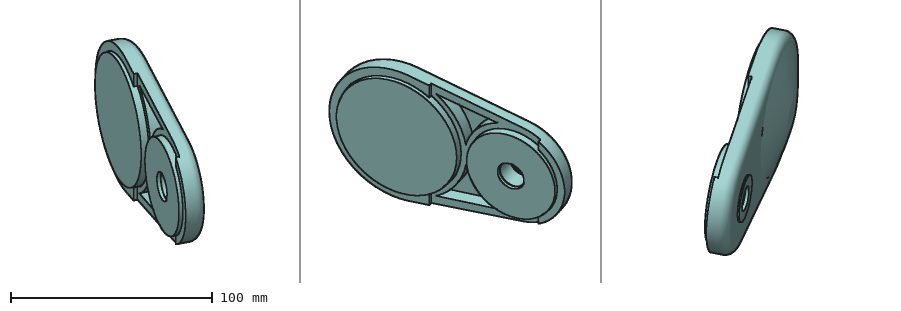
import cadquery as cq
import math

CENTRE_DISTANCE = 65.0
BIG_END_RADIUS = 39.5
SMALL_END_RADIUS = 29.5

RIM_LEVEL = 2.0
RECESS_LEVEL = 4.0
GAP_FLOOR_LEVEL = 6.0
TOP_LEVEL = 13.15
BOSS_LEVEL = 14.0
DOME_LEVEL = 19.93

TOP_EDGE_RADIUS = 5.0

RECESS_START_X = 17.5
RECESS_END_X = 79.6

BIG_DISC_DIAMETER = 68.44
BIG_SEAT_DIAMETER = 69.0
SMALL_DISC_DIAMETER = 50.27
SMALL_SEAT_DIAMETER = 50.6

POCKET_FLOOR_LEVEL = 11.3
BIG_WALL_DIAMETER = 75.4
SMALL_WALL_DIAMETER = 57.1

DOME_BASE_DIAMETER = 68.44
DOME_FLAT_DIAMETER = 16.0
DOME_BULGE = 0.45
BOSS_DIAMETER = 24.0

MOUTH_DIAMETER = 15.0
MOUTH_DEPTH = 2.0
BORE_DIAMETER = 14.4
BORE_DEPTH = 12.0
HOLE_DIAMETER = 12.5


def cylinder(x, diameter, start, end):
    """Round bar along Y between two levels."""
    plane = cq.Workplane("XZ", origin=(x, start, 0))
    return plane.circle(diameter / 2).extrude(start - end)


def belt(big, small, start, end):
    """Bar along Y between two levels: two round ends of given radii joined by their tangents."""
    cos_tangent = (big - small) / CENTRE_DISTANCE
    sin_tangent = math.sqrt(1 - cos_tangent**2)
    return (
        cq.Workplane("XZ", origin=(0, start, 0))
        .moveTo(big * cos_tangent, big * sin_tangent)
        .threePointArc((-big, 0), (big * cos_tangent, -big * sin_tangent))
        .lineTo(CENTRE_DISTANCE + small * cos_tangent, -small * sin_tangent)
        .threePointArc(
            (CENTRE_DISTANCE + small, 0),
            (CENTRE_DISTANCE + small * cos_tangent, small * sin_tangent),
        )
        .close()
        .extrude(start - end)
    )


def plate():
    """Main body with its top edge rounded."""
    body = belt(BIG_END_RADIUS, SMALL_END_RADIUS, RIM_LEVEL, TOP_LEVEL)
    return body.faces(">Y").edges().fillet(TOP_EDGE_RADIUS)


def block(start_x, end_x, start, end):
    """Box across the full width of the plate, between two X positions and two levels."""
    box = cq.Workplane("XY").box(
        end_x - start_x,
        end - start,
        2 * BIG_END_RADIUS,
        centered=(False, False, True),
    )
    return box.translate((start_x, start, 0))


def rim_recess():
    """Lowered part of the rim along the straight sides."""
    return block(RECESS_START_X, RECESS_END_X, RIM_LEVEL, RECESS_LEVEL)


def triangular_pockets():
    """Space between the seat walls and the straight side walls."""
    between = block(0, CENTRE_DISTANCE, RIM_LEVEL, POCKET_FLOOR_LEVEL)
    inner = belt(BIG_DISC_DIAMETER / 2, SMALL_DISC_DIAMETER / 2, RIM_LEVEL, POCKET_FLOOR_LEVEL)
    return (
        between.intersect(inner)
        .cut(cylinder(0, BIG_WALL_DIAMETER, RIM_LEVEL, POCKET_FLOOR_LEVEL))
        .cut(cylinder(CENTRE_DISTANCE, SMALL_WALL_DIAMETER, RIM_LEVEL, POCKET_FLOOR_LEVEL))
    )


def dome():
    """Round cap with a small flat on top, standing on the big end."""
    foot_radius = DOME_BASE_DIAMETER / 2
    return (
        cq.Workplane("XY")
        .moveTo(0, TOP_LEVEL)
        .lineTo(foot_radius, TOP_LEVEL)
        .sagittaArc((DOME_FLAT_DIAMETER / 2, DOME_LEVEL), -DOME_BULGE)
        .lineTo(0, DOME_LEVEL)
        .close()
        .revolve(360, (0, 0, 0), (0, 1, 0))
    )


def disc_in_seat(body, x, disc_diameter, seat_diameter):
    """Body with a proud round disc, ringed by a narrow gap."""
    seat = cylinder(x, seat_diameter, RIM_LEVEL, GAP_FLOOR_LEVEL)
    disc = cylinder(x, disc_diameter, 0, GAP_FLOOR_LEVEL)
    return body.cut(seat).union(disc)


def stepped_hole():
    """Through hole with a wider bore and a short, slightly wider mouth at the disc face."""
    hole = cylinder(CENTRE_DISTANCE, HOLE_DIAMETER, 0, BOSS_LEVEL)
    bore = cylinder(CENTRE_DISTANCE, BORE_DIAMETER, 0, BORE_DEPTH)
    mouth = cylinder(CENTRE_DISTANCE, MOUTH_DIAMETER, 0, MOUTH_DEPTH)
    return hole.union(bore).union(mouth)


body = plate().cut(rim_recess()).cut(triangular_pockets())
body = disc_in_seat(body, 0, BIG_DISC_DIAMETER, BIG_SEAT_DIAMETER)
body = disc_in_seat(body, CENTRE_DISTANCE, SMALL_DISC_DIAMETER, SMALL_SEAT_DIAMETER)
boss = cylinder(CENTRE_DISTANCE, BOSS_DIAMETER, TOP_LEVEL, BOSS_LEVEL)
result = body.union(dome()).union(boss).cut(stepped_hole())